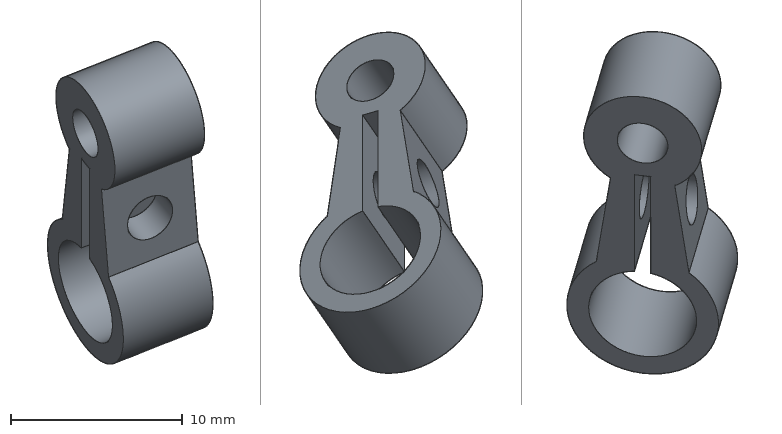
import cadquery as cq
import math

total_height = 20.98
clamp_diameter = 9.0
thickness = 6.0

eye_diameter = 7.0
eye_hole_diameter = 3.0
clamp_bore_diameter = 6.4
eye_z = total_height - clamp_diameter / 2 - eye_diameter / 2

arm_top_width = 3.82
arm_bottom_width = 5.5
slot_width = 0.97
slot_top_below_eye = 2.48
screw_hole_diameter = 3.0
screw_hole_z = 6.63


def cylinder_along_y(diameter, z):
    """Cylinder through the full thickness, centred on Y = 0."""
    return (
        cq.Workplane("XZ", origin=(0, thickness / 2, z))
        .circle(diameter / 2)
        .extrude(thickness)
    )


def rise_at_width(diameter, width):
    """Distance from a circle's centre to its chord of the given width."""
    return math.sqrt((diameter / 2) ** 2 - (width / 2) ** 2)


def tapered_arm():
    """Arm between the rings, with its flat sides ending on their outer circles."""
    bottom_z = rise_at_width(clamp_diameter, arm_bottom_width)
    top_z = eye_z - rise_at_width(eye_diameter, arm_top_width)
    return (
        cq.Workplane("XZ", origin=(0, thickness / 2, 0))
        .polyline([
            (-arm_bottom_width / 2, bottom_z),
            (arm_bottom_width / 2, bottom_z),
            (arm_top_width / 2, top_z),
            (-arm_top_width / 2, top_z),
        ])
        .close()
        .extrude(thickness)
    )


def clamp_slot():
    """Slot running from the clamp axis up to just below the eye hole."""
    slot_height = eye_z - slot_top_below_eye
    return cq.Workplane("XY").box(slot_width, thickness, slot_height, centered=(True, True, False))


def screw_hole():
    """Hole along X through both halves of the arm."""
    return (
        cq.Workplane("YZ", origin=(-clamp_diameter / 2, 0, screw_hole_z))
        .circle(screw_hole_diameter / 2)
        .extrude(clamp_diameter)
    )


body = cylinder_along_y(clamp_diameter, 0)
body = body.union(cylinder_along_y(eye_diameter, eye_z))
body = body.union(tapered_arm())

result = (
    body.cut(cylinder_along_y(clamp_bore_diameter, 0))
    .cut(cylinder_along_y(eye_hole_diameter, eye_z))
    .cut(clamp_slot())
    .cut(screw_hole())
)